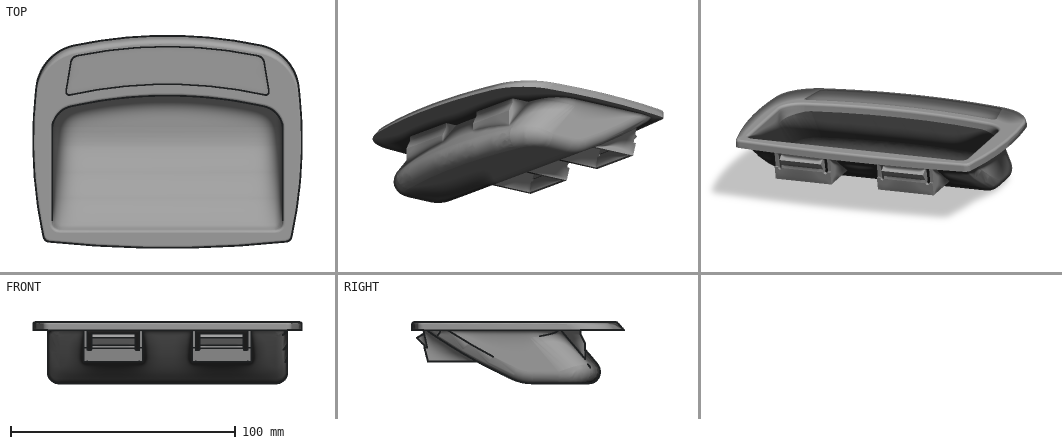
import cadquery as cq
import math

half_width = 59.9
rear_y = 47.3
front_y = -47.3
flange_thickness = 3.6
flange_bulge_radius = 200.1
front_bulge_radius = 503.3
widest_y = 0.5
rear_lean = 3.4
rear_corner_radius = 21.6
front_corner_radius = 3.0
flange_edge_radius = 1.1
corner_iterations = 20

total_height = 27.5
wall = 2.0
opening_half_width = 51.4
opening_rear_y = 20.6
opening_front_y = -39.4
opening_bulge_radius = 194.1
opening_rear_radius = 10.7
undercut_rear_radius = 14.3
opening_front_radius = 3.2
undercut_angle = 40.0
bend_angle = 24.5
floor_bend_y = 6.6
floor_bend_radius = 22.0
ramp_radius = 239.7
outer_fillet = 5.3
rim_radius = 1.2
headroom = 6.0

label_depth = 0.5
label_rear_y = 42.4
label_front_y = 25.6
label_rear_half_width = 42.7
label_front_half_width = 45.5
label_rear_radius = 3.6
label_front_radius = 1.4

clip_spacing = 48.2
clip_width = 26.2
clip_bottom_z = -17.6
clip_side_wall = 1.5
clip_front_wall = 1.8
clip_rear_y = -12.0
clip_top_y = -42.2
clip_ledge_y = -40.4
clip_step_y = -41.7
clip_bottom_y = -40.1
clip_ledge_z = -11.5
slot_width = 1.8
slot_bottom_z = -12.7
tongue_top_z = -5.3
tongue_tip_y = -45.0
tongue_tip_z = -7.1
tongue_root_z = -10.4
catch_front_y = 12.0
catch_neck_y = 27.9
catch_rear_y = 30.0
catch_neck_z = -5.5
catch_shoulder_z = -9.6
catch_bottom_z = -18.6


def arc_drop(radius, reach):
    """Distance an arc falls away from its crown at the given reach."""
    return radius - math.sqrt(radius**2 - reach**2)


def wire_at_height(blank, z):
    """Bottom outline of a flat blank that rests on z = 0, moved to height z."""
    return blank.faces("<Z").wires().val().moved(cq.Location(cq.Vector(0, 0, z)))


def flange_corner(crown_y, crown_radius, inward):
    """Sharp corner where a bowed side meets a bowed end; inward is -1 at the rear, 1 at the front."""
    x = half_width
    y = crown_y
    for _ in range(corner_iterations):
        y = crown_y + inward * arc_drop(crown_radius, x)
        x = half_width - arc_drop(flange_bulge_radius, y - widest_y)
    return x, y


def flange_wire(rear, z):
    """Flange outline at height z, with the crown of its rear side at y = rear."""
    rear_x, rear_corner_y = flange_corner(rear, flange_bulge_radius, -1)
    front_x, front_corner_y = flange_corner(front_y, front_bulge_radius, 1)
    blank = (
        cq.Workplane("XY")
        .moveTo(-rear_x, rear_corner_y)
        .threePointArc((0, rear), (rear_x, rear_corner_y))
        .threePointArc((half_width, widest_y), (front_x, front_corner_y))
        .threePointArc((0, front_y), (-front_x, front_corner_y))
        .threePointArc((-half_width, widest_y), (-rear_x, rear_corner_y))
        .close()
        .extrude(1.2)
        .edges("|Z").edges(">Y").fillet(rear_corner_radius)
        .edges("|Z").edges("<Y").fillet(front_corner_radius)
    )
    return wire_at_height(blank, z)


def make_flange():
    base = flange_wire(rear_y, -flange_thickness)
    top = flange_wire(rear_y - rear_lean, 0)
    flange = cq.Workplane(cq.Solid.makeLoft([base, top], True))
    return flange.faces(">Z").edges().fillet(flange_edge_radius)


def opening_wire(growth, rear_radius, z):
    """Opening outline, grown outward by the given distance, at height z."""
    half = opening_half_width + growth
    rear = opening_rear_y + growth
    front = opening_front_y - growth
    rear_corner_y = rear - arc_drop(opening_bulge_radius + growth, half)
    blank = (
        cq.Workplane("XY")
        .moveTo(-half, rear_corner_y)
        .threePointArc((0, rear), (half, rear_corner_y))
        .lineTo(half, front)
        .lineTo(-half, front)
        .close()
        .extrude(1.2)
        .edges("|Z").edges(">Y").fillet(rear_radius + growth)
        .edges("|Z").edges("<Y").fillet(opening_front_radius + growth)
    )
    return wire_at_height(blank, z)


def point_below(centre, radius, angle):
    """The (y, z) point on a circle, at an angle swung forward from straight below its centre."""
    return centre[0] - radius * math.sin(angle), centre[1] - radius * math.cos(angle)


def bowl_volume(inset):
    """Bowl filled solid, with all its outer surfaces moved inward by inset."""
    growth = wall - inset
    depth = total_height - flange_thickness
    shift = depth * math.tan(math.radians(undercut_angle))
    upright = cq.Solid.extrudeLinear(
        opening_wire(growth, opening_rear_radius, -total_height),
        [],
        cq.Vector(0, 0, total_height + headroom),
    )
    undercut = cq.Solid.extrudeLinear(
        opening_wire(growth, undercut_rear_radius, -flange_thickness),
        [],
        cq.Vector(0, shift, -depth),
    )
    floor_z = -total_height + inset
    bend_radius = floor_bend_radius - inset
    bend_centre = (floor_bend_y, floor_z + bend_radius)
    bend_end_angle = math.radians(bend_angle)
    bend_end = point_below(bend_centre, bend_radius, bend_end_angle)
    centre_gap = ramp_radius - floor_bend_radius
    ramp_centre = point_below(bend_centre, -centre_gap, bend_end_angle)
    ramp = ramp_radius - inset
    ramp_end_angle = math.acos((ramp_centre[1] - headroom) / ramp)
    ramp_mid_angle = (bend_end_angle + ramp_end_angle) / 2
    above_floor = (
        cq.Workplane("YZ")
        .moveTo(rear_y, floor_z)
        .lineTo(floor_bend_y, floor_z)
        .threePointArc(point_below(bend_centre, bend_radius, bend_end_angle / 2), bend_end)
        .threePointArc(
            point_below(ramp_centre, ramp, ramp_mid_angle),
            point_below(ramp_centre, ramp, ramp_end_angle),
        )
        .lineTo(rear_y, headroom)
        .close()
        .extrude(half_width, both=True)
    )
    bowl = cq.Workplane(upright).union(cq.Workplane(undercut)).intersect(above_floor)
    return bowl.faces("<Z").edges("not |X").fillet(outer_fillet - inset)


def label_recess():
    def bowed_end(crown, half):
        return crown - arc_drop(flange_bulge_radius, half)

    rear_end_y = bowed_end(label_rear_y, label_rear_half_width)
    front_end_y = bowed_end(label_front_y, label_front_half_width)
    return (
        cq.Workplane("XY", origin=(0, 0, -label_depth))
        .moveTo(-label_rear_half_width, rear_end_y)
        .threePointArc((0, label_rear_y), (label_rear_half_width, rear_end_y))
        .lineTo(label_front_half_width, front_end_y)
        .threePointArc((0, label_front_y), (-label_front_half_width, front_end_y))
        .close()
        .extrude(label_depth)
        .edges("|Z").edges(">Y").fillet(label_rear_radius)
        .edges("|Z").edges("<Y").fillet(label_front_radius)
    )


def side_profile(points, width):
    """Extrude a (y, z) polygon to the given width, centred on x = 0."""
    return cq.Workplane("YZ").polyline(points).close().extrude(width / 2, both=True)


def front_clip():
    """Open-bottomed box with a snap tongue freed from its front wall by two slots."""
    top_z = -flange_thickness
    front_edge = [
        (clip_top_y, top_z),
        (clip_ledge_y, clip_ledge_z),
        (clip_step_y, clip_ledge_z),
        (clip_bottom_y, clip_bottom_z),
    ]
    back_edge = [(clip_rear_y, clip_bottom_z), (clip_rear_y, top_z)]
    block = side_profile(front_edge + back_edge, clip_width)
    hollow_edge = [
        (clip_top_y + clip_front_wall, top_z),
        (clip_bottom_y + clip_front_wall, clip_bottom_z),
    ]
    hollow_width = clip_width - 2 * clip_side_wall
    block = block.cut(side_profile(hollow_edge + back_edge, hollow_width))

    slot_end_z = slot_bottom_z + slot_width / 2
    inner_face_y = clip_bottom_y + clip_front_wall
    window = side_profile(
        [
            (tongue_tip_y, top_z),
            (inner_face_y, top_z),
            (inner_face_y, slot_end_z),
            (tongue_tip_y, slot_end_z),
        ],
        hollow_width,
    )
    slot_x = (hollow_width - slot_width) / 2
    slot_ends = (
        cq.Workplane("XZ", origin=(0, inner_face_y, 0))
        .pushPoints([(-slot_x, slot_end_z), (slot_x, slot_end_z)])
        .circle(slot_width / 2)
        .extrude(inner_face_y - tongue_tip_y)
    )
    tongue = side_profile(
        [
            (clip_top_y + clip_front_wall, tongue_top_z),
            (clip_top_y, tongue_top_z),
            (tongue_tip_y, tongue_tip_z),
            (clip_step_y, tongue_root_z),
            (clip_step_y, slot_end_z),
            (clip_ledge_y + clip_front_wall, slot_end_z),
        ],
        hollow_width - 2 * slot_width,
    )
    return block.cut(window).cut(slot_ends).union(tongue)


def rear_catch():
    return side_profile(
        [
            (catch_front_y, -flange_thickness),
            (catch_neck_y, -flange_thickness),
            (catch_neck_y, catch_neck_z),
            (catch_rear_y, catch_shoulder_z),
            (catch_rear_y, catch_bottom_z),
            (catch_front_y, catch_bottom_z),
        ],
        clip_width,
    )


def trimmed_shell():
    """Bowl filled solid and cut level inside the thickness of the flange."""
    above_joint = (
        cq.Workplane("XY", origin=(0, 0, -flange_thickness / 2))
        .rect(2 * half_width, rear_y - front_y)
        .extrude(flange_thickness + headroom)
    )
    return bowl_volume(0).cut(above_joint)


result = make_flange().union(trimmed_shell())
for clip_x in (-clip_spacing / 2, clip_spacing / 2):
    result = result.union(front_clip().translate((clip_x, 0, 0)))
    result = result.union(rear_catch().translate((clip_x, 0, 0)))
result = result.cut(bowl_volume(wall))
rim = result.faces(">Z").val().innerWires()
result = result.newObject(rim).edges().fillet(rim_radius)
result = result.cut(label_recess())